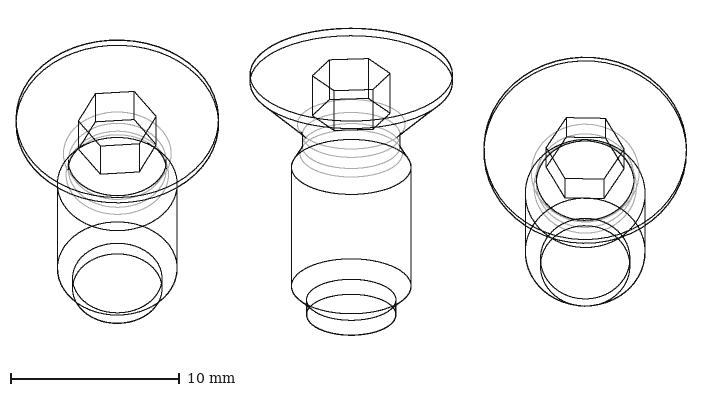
import cadquery as cq
import math


total_length = 16.0
head_radius = 12.0 / 2
rim_height = 0.5
head_cone_angle = math.radians(45)
neck_radius = 5.8 / 2
neck_fillet = 1.0
body_radius = 7.1 / 2
shoulder_depth = 6.15
shoulder_angle = math.radians(30)
tip_radius = 5.3 / 2
tip_height = 1.0
tip_cone_angle = math.radians(45)
socket_sides = 6
socket_flats = 4.0
socket_depth = 2.65


def fillet_radius_at(angle):
    """Screw radius where the neck fillet has turned by `angle` away from the axis."""
    return neck_radius + neck_fillet * (1 - math.cos(angle))


def fillet_height(angle):
    """Axial length of the neck fillet up to the turn `angle`."""
    return neck_fillet * math.sin(angle)


def cone_height(large_radius, small_radius, angle):
    """Axial length of a cone between two radii."""
    return (large_radius - small_radius) / math.tan(angle)


def make_shank_and_head():
    """Solid of revolution: head rim, countersink, neck, shoulder, body and tip."""
    head_blend_radius = fillet_radius_at(head_cone_angle)
    head_blend_z = -rim_height - cone_height(head_radius, head_blend_radius, head_cone_angle)
    neck_top_z = head_blend_z - fillet_height(head_cone_angle)
    head_arc_mid = (
        fillet_radius_at(head_cone_angle / 2),
        neck_top_z + fillet_height(head_cone_angle / 2),
    )

    shoulder_blend_radius = fillet_radius_at(shoulder_angle)
    shoulder_blend_z = -shoulder_depth + cone_height(body_radius, shoulder_blend_radius, shoulder_angle)
    neck_bottom_z = shoulder_blend_z + fillet_height(shoulder_angle)
    shoulder_arc_mid = (
        fillet_radius_at(shoulder_angle / 2),
        neck_bottom_z - fillet_height(shoulder_angle / 2),
    )

    tip_top_z = -total_length + tip_height
    body_bottom_z = tip_top_z + cone_height(body_radius, tip_radius, tip_cone_angle)

    profile = (
        cq.Workplane("XZ")
        .moveTo(0, 0)
        .lineTo(head_radius, 0)
        .lineTo(head_radius, -rim_height)
        .lineTo(head_blend_radius, head_blend_z)
        .threePointArc(head_arc_mid, (neck_radius, neck_top_z))
        .lineTo(neck_radius, neck_bottom_z)
        .threePointArc(shoulder_arc_mid, (shoulder_blend_radius, shoulder_blend_z))
        .lineTo(body_radius, -shoulder_depth)
        .lineTo(body_radius, body_bottom_z)
        .lineTo(tip_radius, tip_top_z)
        .lineTo(tip_radius, -total_length)
        .lineTo(0, -total_length)
        .close()
    )
    return profile.revolve(360, (0, 0, 0), (0, 1, 0))


def make_socket():
    """Hexagonal socket with two flats facing +X and -X."""
    half_side_angle = 180 / socket_sides
    corner_diameter = socket_flats / math.cos(math.radians(half_side_angle))
    return (
        cq.Workplane("XY")
        .transformed(rotate=(0, 0, half_side_angle))
        .polygon(socket_sides, corner_diameter)
        .extrude(-socket_depth)
    )


result = make_shank_and_head().cut(make_socket())